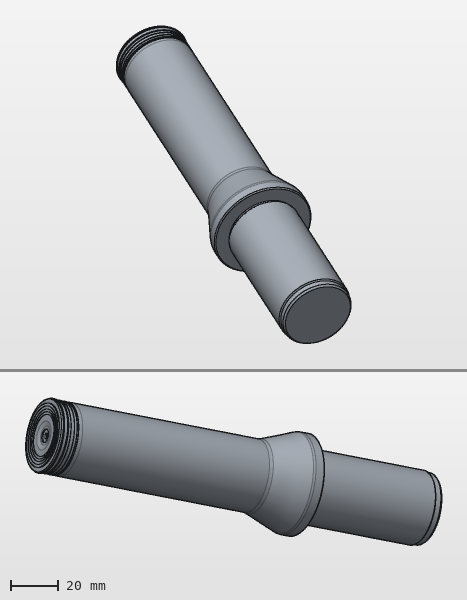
import cadquery as cq

LENGTH = 183.0

CAP_LENGTH = 3.7
FACE_RADIUS = 13.7
CAP_RADIUS = 15.5
FACE_STEP = 0.5
RIDGE_RADIUS = 32.0 / 2
RIDGE_START = 1.5
RIDGE_WIDTH = 0.4
SEAM_BEVEL = 0.27

DISH_RADII = [12.5, 11.2, 10.0, 9.0]
DISH_STEP = 0.2
DISH_DEPTH = DISH_STEP * len(DISH_RADII)
FUNNEL_RADIUS = 6.2
FUNNEL_FLOOR_RADIUS = 4.0
FUNNEL_DEPTH = 1.3
WELL_RADIUS = 3.0
WELL_DEPTH = 1.8
PINHOLE_RADIUS = 1.3
PINHOLE_DEPTH = 2.5

BARREL_RADIUS = 31.5 / 2
GROOVE_DEPTH = 0.27
GROOVE_SPANS = [(5.1, 6.8), (8.0, 8.8)]
RUNOUT_END = 10.6
RUNOUT_DEPTH = 0.1

COLLAR_RADIUS = 44.0 / 2
FLARE_START = 100.8
FLARE_END = 118.2
FLARE_ROOT_FILLET = 5.0
FLARE_RIM_FILLET = 3.3
COLLAR_END = 123.2
COLLAR_BEVEL = 0.5

NECK_RADIUS = 31.0 / 2
SHANK_RADIUS = 32.0 / 2
SHANK_START = 124.6
SHANK_END = 179.7
SHANK_BEVEL = SHANK_RADIUS - NECK_RADIUS
TAIL_BEVEL_LENGTH = 1.0
TAIL_BEVEL_DEPTH = 0.7


def turned(profile):
    """Revolve (x, radius) points, closed along the axis, about X."""
    first_x = profile[0][0]
    last_x = profile[-1][0]
    outline = [(first_x, 0), *profile, (last_x, 0)]
    return cq.Workplane("XY").polyline(outline).close().revolve(360, (0, 0, 0), (1, 0, 0))


def fillet_ring(body, x, radius, fillet):
    """Round the circular edge of the given radius at station x."""
    margin = 0.1
    ring = cq.selectors.BoxSelector(
        (x - margin, -radius - margin, -radius - margin),
        (x + margin, radius + margin, radius + margin),
    )
    return body.edges(ring).fillet(fillet)


def make_front_cap():
    ridge_end = RIDGE_START + RIDGE_WIDTH
    cap = turned([
        (0, FACE_RADIUS),
        (FACE_STEP, FACE_RADIUS),
        (FACE_STEP, CAP_RADIUS),
        (RIDGE_START, CAP_RADIUS),
        (RIDGE_START, RIDGE_RADIUS),
        (ridge_end, RIDGE_RADIUS),
        (ridge_end, BARREL_RADIUS),
        (CAP_LENGTH - SEAM_BEVEL, BARREL_RADIUS),
        (CAP_LENGTH, BARREL_RADIUS - SEAM_BEVEL),
    ])
    dish_steps = []
    for level, radius in enumerate(DISH_RADII):
        dish_steps.append((level * DISH_STEP, radius))
        dish_steps.append(((level + 1) * DISH_STEP, radius))
    recess = turned([
        *dish_steps,
        (DISH_DEPTH, FUNNEL_RADIUS),
        (FUNNEL_DEPTH, FUNNEL_FLOOR_RADIUS),
        (FUNNEL_DEPTH, WELL_RADIUS),
        (WELL_DEPTH, WELL_RADIUS),
        (WELL_DEPTH, PINHOLE_RADIUS),
        (PINHOLE_DEPTH, PINHOLE_RADIUS),
    ])
    return cap.cut(recess)


def cut_barrel_grooves(body):
    floor_radius = BARREL_RADIUS - GROOVE_DEPTH
    for start, end in GROOVE_SPANS:
        groove = (
            cq.Workplane("YZ", origin=(start, 0, 0))
            .circle(COLLAR_RADIUS)
            .circle(floor_radius)
            .extrude(end - start)
        )
        body = body.cut(groove)
    return body


def make_main_body():
    rear_groove_end = GROOVE_SPANS[-1][1]
    body = turned([
        (CAP_LENGTH, BARREL_RADIUS - SEAM_BEVEL),
        (CAP_LENGTH + SEAM_BEVEL, BARREL_RADIUS),
        (rear_groove_end, BARREL_RADIUS),
        (rear_groove_end, BARREL_RADIUS - RUNOUT_DEPTH),
        (RUNOUT_END, BARREL_RADIUS),
        (FLARE_START, BARREL_RADIUS),
        (FLARE_END, COLLAR_RADIUS),
        (COLLAR_END - COLLAR_BEVEL, COLLAR_RADIUS),
        (COLLAR_END, COLLAR_RADIUS - COLLAR_BEVEL),
        (COLLAR_END, NECK_RADIUS),
        (SHANK_START, NECK_RADIUS),
        (SHANK_START, SHANK_RADIUS),
        (SHANK_END - SHANK_BEVEL, SHANK_RADIUS),
        (SHANK_END, NECK_RADIUS),
        (LENGTH - TAIL_BEVEL_LENGTH, NECK_RADIUS),
        (LENGTH, NECK_RADIUS - TAIL_BEVEL_DEPTH),
    ])
    body = fillet_ring(body, FLARE_START, BARREL_RADIUS, FLARE_ROOT_FILLET)
    body = fillet_ring(body, FLARE_END, COLLAR_RADIUS, FLARE_RIM_FILLET)
    return cut_barrel_grooves(body)


front_cap = make_front_cap()
main_body = make_main_body()

result = cq.Compound.makeCompound([front_cap.val(), main_body.val()])